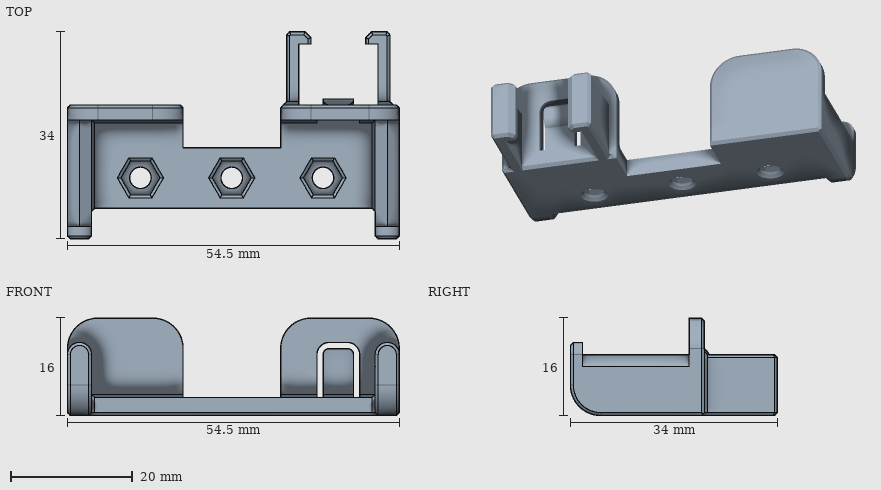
import cadquery as cq
import math

length = 54.5
depth = 34.0
height = 16.0
edge = 0.5

plate_front = 5.0
plate_thickness = 3.0
notch_left = 19.0
notch_right = 35.0
notch_front = 15.0

wall_front = 19.5
wall_thickness = 2.5
wall_back = wall_front + wall_thickness
wall_radius = 5.0

rail_width = 4.0
rail_peak = 10.05
rail_eave = rail_peak - rail_width / 2
rail_nose_radius = 5.0
finger_thickness = 2.0

hole_diameter = 3.5
hole_spacing = 15.0
hole_middle_x = 27.0
hole_y = 10.05
nut_flats = 5.55
nut_depth = 2.0

clip_x = 44.45
arm_thickness = 2.0
arm_height = 10.05
arm_outer_span = 17.0
arm_left = clip_x - arm_outer_span / 2
hook_reach = 2.0
hook_thickness = 2.0
hook_chamfer = 1.0
tongue_width = 5.0
tongue_top = 11.0
tongue_recess = 1.0
tongue_radius = 1.0
nub_radius = 2.5
nub_z = 9.0
slot_gap = 1.0
slot_radius = tongue_radius + slot_gap


def box(x0, x1, y0, y1, z0, z1):
    """Box between the given limits."""
    return cq.Workplane("XY").box(x1 - x0, y1 - y0, z1 - z0, centered=False).translate((x0, y0, z0))


def arched_block(x0, x1, y0, y1, z0, z1, radius):
    """Upright block with its two top corners rounded."""
    return box(x0, x1, y0, y1, z0, z1).edges("|Y and >Z").fillet(radius)


def floor_plate():
    """Plate between the rails, notched at the back and chamfered along its lower front edge."""
    plate = box(rail_width / 2, length - rail_width / 2, plate_front, wall_back - edge, 0, plate_thickness)
    notch = box(notch_left, notch_right, notch_front, wall_back, 0, plate_thickness)
    return plate.edges("<Y and <Z").chamfer(edge).cut(notch)


def back_wall(x0, x1, outer_side):
    """Upright wall with its back outline and its lower outer edge chamfered."""
    wall = arched_block(x0, x1, wall_front, wall_back, 0, height, wall_radius)
    wall = wall.faces(">Y").chamfer(edge)
    return wall.edges(f"|Y and <Z and {outer_side}X").chamfer(edge)


def wall_foot(x0, x1, y_wall):
    """Sloped strip in the corner between the plate and an upright face."""
    return (
        cq.Workplane("YZ", origin=(x0, y_wall, plate_thickness))
        .lineTo(-edge, 0)
        .lineTo(0, edge)
        .close()
        .extrude(x1 - x0)
    )


def left_rail():
    """Side wall with a gabled top and a round-topped finger, rounded at its lower front."""
    middle = rail_width / 2
    gable = (
        cq.Workplane("XZ")
        .lineTo(0, rail_eave)
        .lineTo(middle, rail_peak)
        .lineTo(rail_width, rail_eave)
        .lineTo(rail_width, 0)
        .close()
        .extrude(-(wall_front + wall_thickness / 2))
    )
    finger = (
        cq.Workplane("XZ")
        .lineTo(0, rail_peak)
        .threePointArc((middle, rail_peak + middle), (rail_width, rail_peak))
        .lineTo(rail_width, 0)
        .close()
        .extrude(-finger_thickness)
    )
    rail = gable.union(finger).edges("|X and <Y and <Z").fillet(rail_nose_radius)
    return rail.faces("<Y").chamfer(edge)


def left_plate_flare():
    """Sloped collar around the plate where it meets the inner face of the left rail."""
    y0 = plate_front - edge
    z1 = plate_thickness + edge
    return (
        cq.Workplane("YZ", origin=(rail_width, 0, 0))
        .moveTo(y0, 0)
        .lineTo(wall_back - edge, 0)
        .lineTo(wall_back - edge, z1)
        .lineTo(y0, z1)
        .close()
        .extrude(edge, taper=45)
        .cut(box(rail_width, rail_width + edge, 0, wall_back, 0, edge))
    )


def left_arm():
    """Clip arm with a hook at its end, chamfered all round except on the inside."""
    inner = arm_left + arm_thickness
    tip = inner + hook_reach
    root = wall_back - edge
    arm = box(arm_left, tip, root, depth, 0, arm_height)
    arm = arm.edges("|Z and >Y and >X").chamfer(hook_chamfer)
    arm = arm.edges("|Z and >Y and <X").chamfer(edge)
    arm = arm.faces("|Z").edges("not <Y").chamfer(edge)
    return arm.cut(box(inner, tip, root, depth - hook_thickness, 0, arm_height))


def left_arm_flare():
    """Sloped collar over the outer side and the top of the arm where it meets the wall."""
    inner = arm_left + arm_thickness
    x0 = arm_left - edge
    x1 = inner + edge
    z1 = arm_height + edge
    return (
        cq.Workplane("XZ", origin=(0, wall_back, 0))
        .moveTo(x0, 0)
        .lineTo(x0, z1)
        .lineTo(x1, z1)
        .lineTo(x1, 0)
        .close()
        .extrude(-edge, taper=45)
        .cut(box(x0, x1, wall_back, wall_back + edge, 0, edge))
        .cut(box(inner, x1, wall_back, wall_back + edge, 0, z1))
    )


def tongue():
    """Round-cornered tongue with a rounded latch nub across the back of its upper end."""
    front = wall_front + tongue_recess
    x0 = clip_x - tongue_width / 2
    x1 = clip_x + tongue_width / 2
    outline = arched_block(x0, x1, front, front + nub_radius, 0, tongue_top, tongue_radius)
    strip = box(x0, x1, front, wall_back, edge, nub_z)
    nub = cq.Workplane("YZ", origin=(x0, front, nub_z)).circle(nub_radius).extrude(tongue_width)
    return strip.union(nub).intersect(outline).union(wall_foot(x0, x1, front))


def slot():
    """Arched opening around the tongue, down to the top of the plate."""
    half_width = tongue_width / 2 + slot_gap
    return arched_block(
        clip_x - half_width,
        clip_x + half_width,
        wall_front - edge,
        wall_back,
        plate_thickness,
        tongue_top + slot_gap,
        slot_radius,
    )


def nut_hole(x):
    """Screw hole with a hexagonal nut pocket, chamfered at both ends."""
    corner_ratio = 1 / math.cos(math.pi / 6)
    pocket = (
        cq.Workplane("XY", origin=(x, hole_y, plate_thickness - nut_depth))
        .polygon(6, nut_flats * corner_ratio)
        .extrude(nut_depth)
    )
    rim = (
        cq.Workplane("XY", origin=(x, hole_y, plate_thickness))
        .polygon(6, (nut_flats + 2 * edge) * corner_ratio)
        .extrude(-edge, taper=45)
    )
    hole = cq.Workplane("XY", origin=(x, hole_y, 0)).circle(hole_diameter / 2).extrude(plate_thickness)
    lower_rim = (
        cq.Workplane("XY", origin=(x, hole_y, 0))
        .circle(hole_diameter / 2 + edge)
        .extrude(edge, taper=45)
    )
    return pocket.union(rim).union(hole).union(lower_rim)


def with_mirror(shape, x_mirror):
    """The shape together with its mirror image about the plane at x_mirror."""
    return shape.union(shape.mirror("YZ", (x_mirror, 0, 0)))


rails = with_mirror(left_rail().union(left_plate_flare()), length / 2)
arms = with_mirror(left_arm().union(left_arm_flare()), clip_x)

result = floor_plate().union(rails)
for x0, x1, outer_side in ((0, notch_left, "<"), (notch_right, length, ">")):
    result = result.union(back_wall(x0, x1, outer_side))
for x0, x1 in ((rail_width, notch_left), (notch_right, length - rail_width)):
    result = result.union(wall_foot(x0, x1, wall_front))
result = result.union(arms).cut(slot()).union(tongue())
for i in (-1, 0, 1):
    result = result.cut(nut_hole(hole_middle_x + i * hole_spacing))